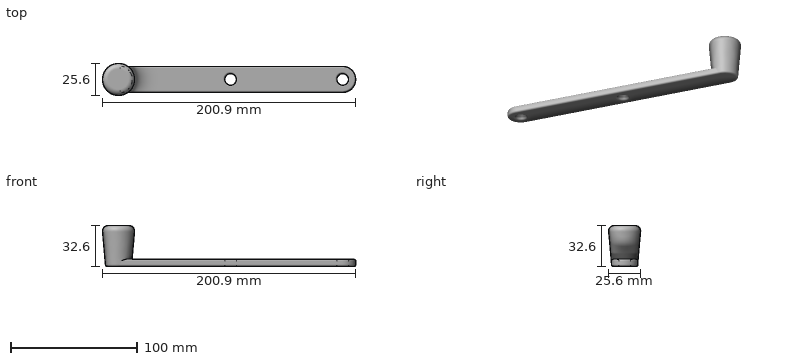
import cadquery as cq
import math

height = 32.59
length = 200.92
cap_diameter = 25.59

arm_width = 20.8
arm_thickness = 5.75

knob_draft = 5.0
knob_top_round = 4.6

hole_diameter = 9.0

edge_round = 1.4

end_x = length - cap_diameter / 2 - arm_width / 2
hole_positions = [(end_x / 2, 0), (end_x, 0)]


def make_arm():
    """Bar from the knob axis to the free end, with its holes and rounded edges."""
    half_width = arm_width / 2
    arm = (
        cq.Workplane("XY")
        .moveTo(0, -half_width)
        .lineTo(end_x, -half_width)
        .threePointArc((end_x + half_width, 0), (end_x, half_width))
        .lineTo(0, half_width)
        .close()
        .extrude(arm_thickness)
    )
    holes = cq.Workplane("XY").pushPoints(hole_positions).circle(hole_diameter / 2).extrude(arm_thickness)
    return arm.cut(holes).faces(">Z or <Z").edges().fillet(edge_round)


def make_knob():
    """Cone with a large round at the top and a small one at the foot."""
    slant = math.radians(knob_draft)
    sharp_overreach = knob_top_round * (math.tan(slant) + 1 / math.cos(slant) - 1)
    top_radius = cap_diameter / 2 + sharp_overreach
    foot_radius = top_radius - height * math.tan(slant)
    cone = (
        cq.Workplane("XZ")
        .lineTo(foot_radius, 0)
        .lineTo(top_radius, height)
        .lineTo(0, height)
        .close()
        .revolve(360, (0, 0), (0, 1))
    )
    rounded_top = cone.faces(">Z").edges().fillet(knob_top_round)
    return rounded_top.faces("<Z").edges().fillet(edge_round)


result = make_arm().union(make_knob())